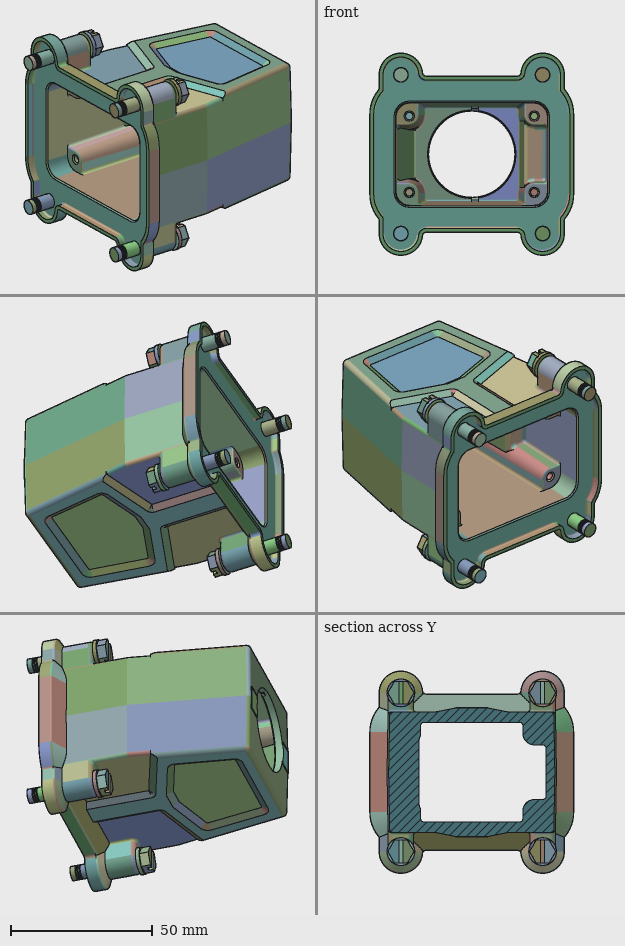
import cadquery as cq
import math


flange_width = 72.0
flange_height = 55.2
flange_corner_radius = 13.5
flange_thickness = 4.7
flange_slope = 60.0
flange_edge_radius = 0.8
flange_shoulder_rise = 4.0
lobe_radius = 7.7
lobe_blend_radius = 1.2
lobe_side_blend_radius = 1.0
lobe_shoulder_rise = 2.0
rim_width = 1.4
rim_depth = 2.5
rim_floor_radius = 0.6

body_half_width = 29.9
body_half_height = 22.8
body_length = 74.1
tail_half_width = 22.4
taper_start = 30.8
side_draft = 1.0
body_edge_radius = 1.7
tail_corner_radius = 1.5

panel_depth = 1.5
wall_run = 2.5
panel_base_radius = 1.2
rib_half_width = 3.95
panel_start = 4.0
panel_inner_top = 33.1
arm_slope = 0.348

label_depth = 1.5
label_top = 68.8
label_top_half_width = 17.6
label_shoulder = 43.2
label_shoulder_half_width = 21.75
label_bottom = 37.0
label_bottom_half_width = 3.7
label_corner_radius = 3.2

screw_x = 25.0
screw_z = 35.7 - lobe_radius
boss_radius = 4.5
boss_top = 17.9
boss_edge_radius = 1.7
boss_root = 18.8
web_root_radius = 0.8
screw_radius = 2.6
screw_tip = -7.05
washer_radius = 4.9
washer_thickness = 1.4
head_across_flats = 8.0
head_height = 3.3
slot_width = 1.4
slot_depth = 1.5
thread_ring_start = -5.2
thread_ring_pitch = 0.8
thread_ring_count = 3
thread_ring_width = 0.3
thread_ring_depth = 0.12

cavity_width = 53.9
cavity_height = 36.6
cavity_mouth_chamfer = 0.5
cavity_corner_radius = 5.0
cavity_draft = 1.4
cavity_end = 71.0
cavity_floor_radius = 0.5
left_floor_x = -20.2
shoulder_y = 31.0
shoulder_radius = 1.2
shoulder_x = 18.6
right_floor_x = 17.0

post_x = 22.05
post_z = 13.45
post_front = 11.5
post_inner_x = 18.7
post_inner_z = 10.3
post_corner_radius = 3.5
post_front_radius = 0.5
post_root_radius = 1.0
post_draft = 2.0
post_overlap = 4.0
post_hole_radius = 1.3
post_hole_depth = 8.0
post_hole_chamfer = 0.5

entry_radius = 15.2
entry_chamfer = 0.4
notch_width = 2.4
notch_x = 1.1
notch_reach = 16.9
notch_depth = 2.5

pad_center_x = 18.05
pad_width = 6.5
pad_height = 9.2
pad_thickness = 0.2

SIGNS = (-1, 1)
CORNERS = [(sx, sz) for sx in SIGNS for sz in SIGNS]


def facing_back(y):
    """Workplane at height y whose normal is +Y (local x = X, local y = -Z)."""
    return cq.Workplane(cq.Plane(origin=(0, y, 0), xDir=(1, 0, 0), normal=(0, 1, 0)))


def disc(y_start, y_end, radius, x, z):
    return facing_back(y_start).center(x, -z).circle(radius).extrude(y_end - y_start)


def mirrored_in_z(half):
    return half.union(half.mirror("XY"))


def lobe_bar(y_start, length, radius, taper=0.0):
    """Bars with round ends along Z, each carrying the two screws of one side."""
    return (
        facing_back(y_start)
        .pushPoints([(sx * screw_x, 0) for sx in SIGNS])
        .slot2D(2 * (screw_z + radius), 2 * radius, 90)
        .extrude(length, taper=taper)
    )


def rounded_plate(y_start, length, inset=0.0, taper=0.0):
    outline = cq.Sketch().rect(flange_width - 2 * inset, flange_height - 2 * inset)
    outline = outline.vertices().fillet(flange_corner_radius - inset)
    return facing_back(y_start).placeSketch(outline).extrude(length, taper=taper)


def lobed_plate(length, inset=0.0):
    """Rounded rectangle with four screw lobes, blended where the lobes leave the rectangle."""
    plate = rounded_plate(0, length, inset).union(lobe_bar(0, length, lobe_radius - inset))
    inner_x = screw_x - lobe_radius + inset
    inner_z = flange_height / 2 - inset
    side_x = screw_x + lobe_radius - inset
    corner_radius = flange_corner_radius - inset
    run_x = side_x - (flange_width / 2 - flange_corner_radius)
    side_z = flange_height / 2 - flange_corner_radius + math.sqrt(corner_radius**2 - run_x**2)
    for sx, sz in CORNERS:
        inner = cq.selectors.NearestToPointSelector((sx * inner_x, length / 2, sz * inner_z))
        plate = plate.edges(inner).fillet(lobe_blend_radius + inset)
        side = cq.selectors.NearestToPointSelector((sx * side_x, length / 2, sz * side_z))
        plate = plate.edges(side).fillet(lobe_side_blend_radius)
    return plate


def shouldered(base, shoulder):
    """Joins a straight base to its sloped shoulder and rounds the edge between them."""
    level = cq.selectors.BoxSelector(
        (-flange_width, flange_thickness - 0.01, -flange_width),
        (flange_width, flange_thickness + 0.01, flange_width),
    )
    return base.union(shoulder).edges(level).fillet(flange_edge_radius)


def flange():
    setback = flange_edge_radius * math.tan(math.radians(flange_slope / 2))
    outline = lobed_plate(flange_thickness - setback)
    plate = shouldered(
        rounded_plate(0, flange_thickness),
        rounded_plate(flange_thickness, flange_shoulder_rise, taper=flange_slope),
    )
    lobes = shouldered(
        lobe_bar(0, flange_thickness, lobe_radius),
        lobe_bar(flange_thickness, lobe_shoulder_rise, lobe_radius, flange_slope),
    )
    return outline.union(plate).union(lobes)


def rim_recess():
    return lobed_plate(rim_depth, rim_width).faces(">Y").edges().fillet(rim_floor_radius)


def drafted_half(height, edge_radius):
    """Upper half of the hood, drafted away from the parting plane z = 0."""
    half = (
        cq.Workplane("XY")
        .moveTo(-body_half_width, 0)
        .lineTo(body_half_width, 0)
        .lineTo(body_half_width, taper_start)
        .lineTo(tail_half_width, body_length)
        .lineTo(-tail_half_width, body_length)
        .lineTo(-body_half_width, taper_start)
        .close()
        .extrude(height, taper=side_draft)
    )
    tail_zone = cq.selectors.BoxSelector(
        (-body_half_width, body_length - 2, 1), (body_half_width, body_length + 1, height - 1)
    )
    half = half.edges(tail_zone).fillet(tail_corner_radius)
    return half.faces(">Z").edges().fillet(edge_radius)


def panel_cutter(side):
    """Removes one lowered panel; its walls slope outward toward the surface."""
    floor_z = body_half_height - panel_depth
    outer_x = body_half_width + 3 * wall_run
    inner_x = rib_half_width + wall_run
    arm_shift = wall_run * math.hypot(1, arm_slope)
    inner_y = panel_inner_top + arm_slope * wall_run - arm_shift
    outer_y = inner_y + arm_slope * (outer_x - inner_x)
    outline = (
        cq.Workplane("XY", origin=(0, 0, floor_z))
        .moveTo(side * inner_x, panel_start)
        .lineTo(side * outer_x, panel_start)
        .lineTo(side * outer_x, outer_y)
        .lineTo(side * inner_x, inner_y)
        .close()
    )
    draft = math.degrees(math.atan(wall_run / panel_depth))
    sloped = outline.extrude(panel_depth, taper=-draft)
    return sloped.union(sloped.faces("<Z").wires().toPending().extrude(-panel_depth))


def label_recess():
    outline = [
        (-label_top_half_width, label_top),
        (label_top_half_width, label_top),
        (label_shoulder_half_width, label_shoulder),
        (label_bottom_half_width, label_bottom),
        (-label_bottom_half_width, label_bottom),
        (-label_shoulder_half_width, label_shoulder),
    ]
    upper_corners = cq.selectors.BoxSelector(
        (-body_half_width, label_bottom + 1, 0), (body_half_width, body_length, body_half_height + 1)
    )
    block = cq.Workplane("XY", origin=(0, 0, body_half_height)).polyline(outline).close()
    block = block.extrude(-label_depth).edges("|Z").edges(upper_corners).fillet(label_corner_radius)
    draft = math.degrees(math.atan(wall_run / label_depth))
    return block.faces(">Z").wires().toPending().extrude(-label_depth, taper=draft, combine=False)


def hood():
    half = drafted_half(body_half_height, body_edge_radius)
    for side in SIGNS:
        half = half.cut(panel_cutter(side))
    half = half.union(drafted_half(body_half_height - panel_depth, panel_base_radius))
    half = half.cut(label_recess())
    return mirrored_in_z(half)


def tail_pads():
    return (
        facing_back(body_length - 1)
        .pushPoints([(sx * pad_center_x, 0) for sx in SIGNS])
        .rect(pad_width, pad_height)
        .extrude(1 + pad_thickness)
    )


def screw_boss(sx, sz):
    height = screw_z - boss_root
    web = cq.Workplane("XY").box(2 * boss_radius, boss_top, height)
    web = web.translate((sx * screw_x, boss_top / 2, sz * (boss_root + height / 2)))
    boss = web.union(disc(0, boss_top, boss_radius, sx * screw_x, sz * screw_z))
    buried_end = cq.selectors.BoxSelector(
        (-flange_width, 0, -boss_root - 0.1), (flange_width, flange_width, boss_root + 0.1)
    )
    rim = [e for e in boss.faces(">Y").edges().vals() if e not in boss.edges(buried_end).vals()]
    return boss.newObject(rim).fillet(boss_edge_radius)


def round_web_root(body, sx, sz):
    """Rounds the inner corner where the boss web rises from the lowered panel."""
    corner = (
        sx * (screw_x - boss_radius),
        (flange_thickness + flange_shoulder_rise + boss_top) / 2,
        sz * (body_half_height - panel_depth),
    )
    return body.edges(cq.selectors.NearestToPointSelector(corner)).fillet(web_root_radius)


def screw(sx, sz):
    x = sx * screw_x
    z = sz * screw_z
    head_base = boss_top + washer_thickness
    body = disc(screw_tip, boss_top, screw_radius, x, z)
    body = body.union(disc(boss_top, head_base, washer_radius, x, z))
    across_corners = head_across_flats / math.cos(math.pi / 6)
    head = facing_back(head_base).center(x, -z).polygon(6, across_corners).extrude(head_height)
    slot_y = head_base + head_height - slot_depth / 2
    slot = cq.Workplane("XY").box(slot_width, slot_depth, 2 * across_corners)
    body = body.union(head).cut(slot.translate((x, slot_y, z)))
    for i in range(thread_ring_count):
        ring_y = thread_ring_start + i * thread_ring_pitch
        ring_end = ring_y + thread_ring_width
        ring = disc(ring_y, ring_end, screw_radius + 1, x, z)
        ring = ring.cut(disc(ring_y, ring_end, screw_radius - thread_ring_depth, x, z))
        body = body.cut(ring)
    return body


def cavity():
    outline = cq.Sketch().rect(cavity_width, cavity_height).vertices().fillet(cavity_corner_radius)
    drafted = facing_back(0).placeSketch(outline).extrude(cavity_end, taper=cavity_draft)
    half_width = cavity_width / 2
    side_limits = (
        cq.Workplane("XY", origin=(0, 0, -cavity_height))
        .moveTo(-half_width, 0)
        .lineTo(half_width, 0)
        .lineTo(half_width, shoulder_y)
        .lineTo(shoulder_x, shoulder_y)
        .lineTo(right_floor_x, cavity_end)
        .lineTo(left_floor_x, cavity_end)
        .lineTo(-half_width, taper_start)
        .close()
        .extrude(2 * cavity_height)
    )
    return drafted.intersect(side_limits)


def post(sx, sz):
    """Corner post with a rounded inner edge, thickening toward the tail."""
    outer_x = cavity_width / 2 + post_overlap
    outer_z = cavity_height / 2 + post_overlap
    width = outer_x - post_inner_x
    height = outer_z - post_inner_z
    outline = cq.Sketch().rect(width, height).vertices().fillet(post_corner_radius)
    center = (sx * (outer_x - width / 2), -sz * (outer_z - height / 2))
    length = cavity_end - post_front
    bar = facing_back(post_front).center(*center).placeSketch(outline)
    return bar.extrude(length, taper=-post_draft)


def level_edges(y, x_min, x_max, half_height):
    """Selects the edges lying on one level of the cavity within the given limits."""
    return cq.selectors.BoxSelector((x_min, y - 0.05, -half_height), (x_max, y + 0.05, half_height))


def post_root_edges(sx, sz):
    """Selects the two edges along which a post meets the cavity walls."""
    margin = 2.0
    along_z_wall = cq.selectors.BoxSelector(
        (sx * (post_inner_x - margin), post_front + 1, sz * (cavity_height / 2 - margin)),
        (sx * (post_inner_x + 0.5), cavity_end - 1, sz * cavity_height / 2),
    )
    along_x_wall = cq.selectors.BoxSelector(
        (sx * (cavity_width / 2 - margin), post_front + 1, sz * (post_inner_z - margin)),
        (sx * cavity_width / 2, taper_start - 1, sz * (post_inner_z + 0.5)),
    )
    return along_z_wall, along_x_wall


def interior():
    """The hollow of the hood: the cavity without its posts, with rounded edges."""
    half_width = cavity_width / 2
    half_height = cavity_height / 2
    hollow = cavity()
    for sx, sz in CORNERS:
        hollow = hollow.cut(post(sx, sz))
    for sx, sz in CORNERS:
        for root in post_root_edges(sx, sz):
            hollow = hollow.edges(root).fillet(post_root_radius)
    shoulder_edges = level_edges(shoulder_y, shoulder_x - 0.5, half_width, half_height)
    hollow = hollow.edges(shoulder_edges).fillet(shoulder_radius)
    free_width = post_x + post_corner_radius - 1
    front_edges = level_edges(post_front, -free_width, free_width, half_height - 1)
    hollow = hollow.edges(front_edges).fillet(post_front_radius)
    hollow = hollow.faces(">Y").edges().fillet(cavity_floor_radius)
    return hollow.union(cavity_mouth())


def cavity_mouth():
    """Bevel around the opening at the floor of the rim recess."""
    widening = 2 * (cavity_mouth_chamfer - rim_depth * math.tan(math.radians(cavity_draft)))
    outline = cq.Sketch().rect(cavity_width + widening, cavity_height + widening)
    outline = outline.vertices().fillet(cavity_corner_radius + cavity_mouth_chamfer)
    bevel_depth = 2 * cavity_mouth_chamfer
    return facing_back(rim_depth).placeSketch(outline).extrude(bevel_depth, taper=45)


def post_hole(sx, sz):
    x = sx * post_x
    z = sz * post_z
    hole = disc(post_front, post_front + post_hole_depth, post_hole_radius, x, z)
    mouth = facing_back(post_front).center(x, -z).circle(post_hole_radius + post_hole_chamfer)
    return hole.union(mouth.extrude(post_hole_chamfer, taper=45))


def cable_entry():
    bore = disc(cavity_end, body_length + 1, entry_radius, 0, 0)
    mouth = facing_back(cavity_end).circle(entry_radius + entry_chamfer)
    bore = bore.union(mouth.extrude(entry_chamfer, taper=45))
    for side in SIGNS:
        bore = bore.union(entry_notch(side))
    return bore


def entry_notch(side):
    """Wedge-shaped notch beside the bore, deepening toward it."""
    return (
        cq.Workplane("YZ", origin=(notch_x - notch_width / 2, 0, 0))
        .moveTo(cavity_end, side * notch_reach)
        .lineTo(cavity_end, side * (entry_radius - 1))
        .lineTo(cavity_end + notch_depth, side * (entry_radius - 1))
        .close()
        .extrude(notch_width)
    )


part = hood()
for sx, sz in CORNERS:
    part = round_web_root(part.union(screw_boss(sx, sz)), sx, sz)
part = part.union(tail_pads()).union(flange())
part = part.cut(rim_recess()).cut(interior())
for sx, sz in CORNERS:
    part = part.cut(post_hole(sx, sz))
part = part.cut(cable_entry())
for sx, sz in CORNERS:
    part = part.union(screw(sx, sz))
result = part